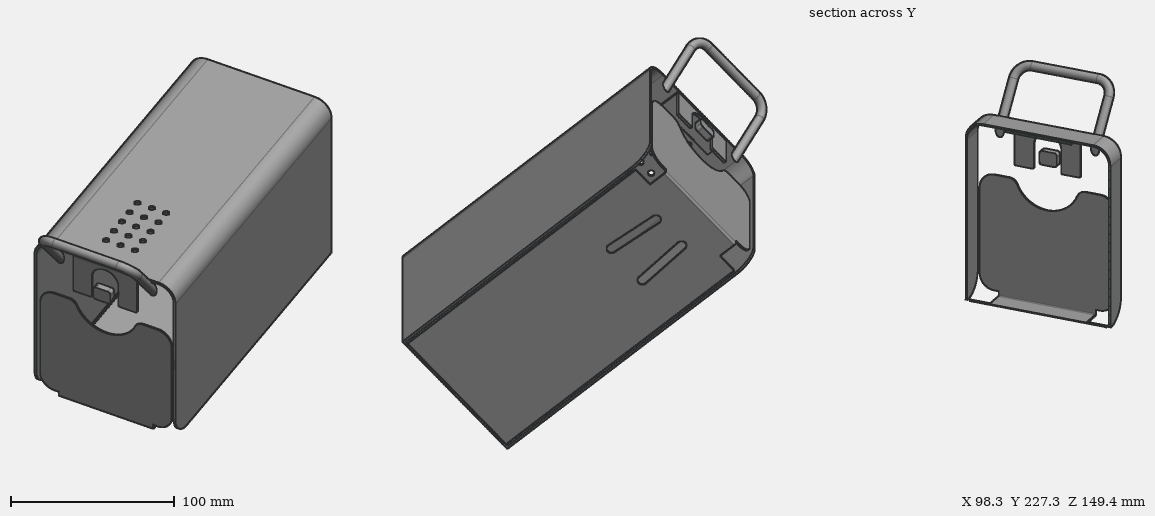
import cadquery as cq
import math

width = 98.3
depth = 200.0
top_height = 120.75
sheet = 1.5
side_bottom = 0.5
shell_radius = 12.0
side_corner_radius = 15.0

inner_width = width - 2 * sheet
inner_top = top_height - sheet

vent_diameter = 4.0
vent_pitch = 10.0
vent_columns = 3
vent_rows = 5
vent_center_y = 40.0

base_sheet = 1.0
floor_width = 92.3
floor_front = 14.0
flap_width = 91.3
flap_front = 1.0
flap_top = 81.5
flap_bottom = 4.0
flap_radius = 10.0
bend_width = 65.5
bend_radius = 1.5
scoop_radius = 22.0
scoop_bottom = 64.3
scoop_fillet = 6.0

slot_length = 40.0
slot_width = 6.0
slot_tilt = 4.3
slot_center_x = 13.2
slot_center_y = 44.0

bracket_width = 44.5
bracket_bottom = 90.2
bracket_flange = 15.0
bracket_corner_radius = 1.0
arch_radius = 9.3
arch_top = 115.7

button_width = 12.0
button_height = 9.4
button_center_z = 98.25
button_radius = 2.0
button_front = -4.0
button_back = 0.5

rod_diameter = 6.0
handle_span = 64.4
handle_bend_radius = 10.0
handle_lean = 37.0
handle_reach = 27.34
handle_top = 149.4
handle_leg_end_y = 1.5


def make_housing():
    """Top and two side walls bent from one sheet, closed at the back."""
    wall_height = top_height - side_bottom
    outer = (
        cq.Workplane("XY", origin=(0, depth / 2, side_bottom))
        .box(width, depth, wall_height, centered=(True, True, False))
        .edges("|Y and >Z").fillet(shell_radius)
    )
    cavity = (
        cq.Workplane("XY", origin=(0, (depth - sheet) / 2, side_bottom))
        .box(inner_width, depth - sheet, wall_height - sheet, centered=(True, True, False))
        .edges("|Y and >Z").fillet(shell_radius - sheet)
    )
    vents = (
        cq.Workplane("XY", origin=(0, vent_center_y, inner_top))
        .rarray(vent_pitch, vent_pitch, vent_columns, vent_rows)
        .circle(vent_diameter / 2)
        .extrude(sheet)
    )
    rounded = outer.edges("|X and <Y and <Z").fillet(side_corner_radius)
    return rounded.cut(cavity).cut(vents)


def make_flap():
    """Front flap with a finger scoop in its upper edge."""
    plate = (
        cq.Workplane("XZ", origin=(0, flap_front, (flap_top + flap_bottom) / 2))
        .rect(flap_width, flap_top - flap_bottom)
        .extrude(-base_sheet)
        .edges("|Y").fillet(flap_radius)
    )
    scoop = (
        cq.Workplane("XZ", origin=(0, flap_front, scoop_bottom + scoop_radius))
        .circle(scoop_radius)
        .extrude(-base_sheet)
    )
    scoop_corners = cq.selectors.BoxSelector(
        (-scoop_radius, flap_front - base_sheet, flap_top - base_sheet),
        (scoop_radius, flap_front + 2 * base_sheet, flap_top + base_sheet),
    )
    return plate.cut(scoop).edges("|Y").edges(scoop_corners).fillet(scoop_fillet)


def make_base():
    """Floor and front flap, joined by a narrower bend."""
    floor_length = depth - sheet - floor_front
    floor = cq.Workplane("XY", origin=(0, floor_front + floor_length / 2, 0)).box(
        floor_width, floor_length, base_sheet, centered=(True, True, False)
    )
    arm = floor_front - flap_front + base_sheet
    bend = (
        cq.Workplane("YZ", origin=(-bend_width / 2, flap_front, 0))
        .moveTo(arm, 0)
        .lineTo(bend_radius, 0)
        .radiusArc((0, bend_radius), bend_radius)
        .lineTo(0, flap_bottom + base_sheet)
        .lineTo(base_sheet, flap_bottom + base_sheet)
        .lineTo(base_sheet, bend_radius)
        .radiusArc((bend_radius, base_sheet), -(bend_radius - base_sheet))
        .lineTo(arm, base_sheet)
        .close()
        .extrude(bend_width)
    )
    base = floor.union(bend).union(make_flap())
    for side in (-1, 1):
        slot = (
            cq.Workplane("XY", origin=(side * slot_center_x, slot_center_y, 0))
            .transformed(rotate=(0, 0, 90 - side * slot_tilt))
            .slot2D(slot_length, slot_width)
            .extrude(base_sheet)
        )
        base = base.cut(slot)
    return base


def make_bracket():
    """Angle bracket under the top, with an arched notch around the button."""
    bracket = (
        cq.Workplane("YZ", origin=(-bracket_width / 2, 0, 0))
        .moveTo(0, bracket_bottom)
        .lineTo(0, inner_top)
        .lineTo(bracket_flange, inner_top)
        .lineTo(bracket_flange, inner_top - sheet)
        .lineTo(sheet, inner_top - sheet)
        .lineTo(sheet, bracket_bottom)
        .close()
        .extrude(bracket_width)
        .edges("|X and <Y and >Z").fillet(sheet)
    )
    arch_center = arch_top - arch_radius
    notch = (
        cq.Workplane("XZ")
        .moveTo(-arch_radius, bracket_bottom)
        .lineTo(-arch_radius, arch_center)
        .threePointArc((0, arch_top), (arch_radius, arch_center))
        .lineTo(arch_radius, bracket_bottom)
        .close()
        .extrude(-sheet)
    )
    return bracket.cut(notch).faces("<Z").edges("|Y").fillet(bracket_corner_radius)


def make_button():
    """Rounded rectangular push button standing out of the front opening."""
    return (
        cq.Workplane("XZ", origin=(0, button_front, button_center_z))
        .rect(button_width, button_height)
        .extrude(button_front - button_back)
        .edges("|Y").fillet(button_radius)
    )


def make_handle():
    """Round bar bent to a U, leaning forward; the legs end on a vertical plane."""
    lean = math.radians(handle_lean)
    bar_y = -handle_reach + rod_diameter / 2
    bar_z = handle_top - rod_diameter / 2
    leg_length = (handle_leg_end_y + rod_diameter - bar_y) / math.sin(lean)
    half = handle_span / 2
    plane = cq.Plane(
        origin=(0, bar_y, bar_z),
        xDir=(1, 0, 0),
        normal=(0, -math.cos(lean), -math.sin(lean)),
    )
    bend = handle_bend_radius
    mid = bend * (1 - math.sqrt(0.5))
    path = (
        cq.Workplane(plane)
        .moveTo(-half, -leg_length)
        .lineTo(-half, -bend)
        .threePointArc((-half + mid, -mid), (-half + bend, 0))
        .lineTo(half - bend, 0)
        .threePointArc((half - mid, -mid), (half, -bend))
        .lineTo(half, -leg_length)
    )
    start = plane.toWorldCoords((-half, -leg_length, 0))
    bar = (
        cq.Workplane(cq.Plane(origin=start, xDir=(1, 0, 0), normal=plane.yDir))
        .circle(rod_diameter / 2)
        .sweep(path)
    )
    trim = cq.Workplane("XY", origin=(0, handle_leg_end_y + depth / 2, top_height)).box(
        width, depth, 2 * top_height
    )
    return bar.cut(trim)


housing = make_housing()
base = make_base()
bracket = make_bracket()
button = make_button()
handle = make_handle()

result = cq.Compound.makeCompound(
    [housing.val(), base.val(), bracket.val(), button.val(), handle.val()]
)